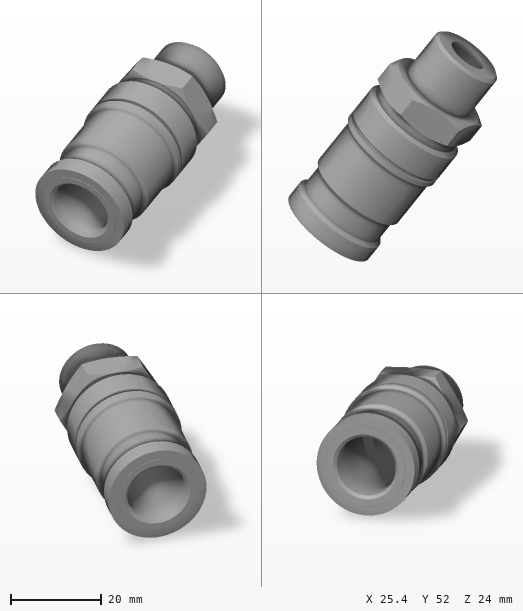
import cadquery as cq
import math

length = 52.0

sleeve_radius = 11.25
grip_radius = 10.25
collar_radius = 12.0
collar_edge_radius = 11.25
split_radius = 11.45
split_floor_radius = 11.3
neck_radius = 10.65
tail_radius = 8.5
tail_chamfer = 0.7

lip_start = 0.1
lip_end = 4.15
grip_start = 5.1
grip_end = 10.15
sleeve_start = 11.15
collar_start = 22.6
collar_full = 23.45
split_start = 24.65
split_end = 25.6
split_middle = (split_start + split_end) / 2
shoulder_start = 31.95
neck_start = 32.65
hex_start = 34.55
hex_end = 41.0

hex_across_flats = 22.0
hex_corner_radius = hex_across_flats / 2 / math.cos(math.pi / 6)
hex_face_radius = hex_across_flats / 2
hex_chamfer_depth = (hex_corner_radius - hex_face_radius) * math.tan(math.radians(30))

insert_radius = 9.0
socket_radius = 6.75
socket_mouth_radius = 7.5
socket_chamfer = socket_mouth_radius - socket_radius
socket_depth = 22.6
passage_radius = 4.45


def turn(profile):
    """Revolve (radius, station) points about the Y axis."""
    return cq.Workplane("XY").polyline(profile).close().revolve(360, (0, 0), (0, 1))


def make_body():
    return turn([
        (0, 0),
        (insert_radius, 0),
        (insert_radius, lip_start),
        (sleeve_radius, lip_start),
        (sleeve_radius, lip_end),
        (grip_radius, grip_start),
        (grip_radius, grip_end),
        (sleeve_radius, sleeve_start),
        (sleeve_radius, collar_start),
        (collar_radius, collar_full),
        (collar_radius, split_start),
        (split_radius, split_start),
        (split_floor_radius, split_middle),
        (split_radius, split_end),
        (collar_radius, split_end),
        (collar_radius, shoulder_start),
        (collar_edge_radius, neck_start),
        (neck_radius, neck_start),
        (neck_radius, hex_start),
        (tail_radius, hex_start),
        (tail_radius, length - tail_chamfer),
        (tail_radius - tail_chamfer, length),
        (0, length),
    ])


def make_hexagon():
    """Hexagon with corners on the X axis, both ends cut back by a cone at the corners."""
    prism = (
        cq.Workplane("XZ", origin=(0, hex_end, 0))
        .polygon(6, 2 * hex_corner_radius)
        .extrude(hex_end - hex_start)
    )
    envelope = turn([
        (0, hex_start),
        (hex_face_radius, hex_start),
        (hex_corner_radius, hex_start + hex_chamfer_depth),
        (hex_corner_radius, hex_end - hex_chamfer_depth),
        (hex_face_radius, hex_end),
        (0, hex_end),
    ])
    return prism.intersect(envelope)


def make_passage():
    return turn([
        (0, 0),
        (socket_mouth_radius, 0),
        (socket_radius, socket_chamfer),
        (socket_radius, socket_depth),
        (passage_radius, socket_depth),
        (passage_radius, length),
        (0, length),
    ])


result = make_body().union(make_hexagon()).cut(make_passage())